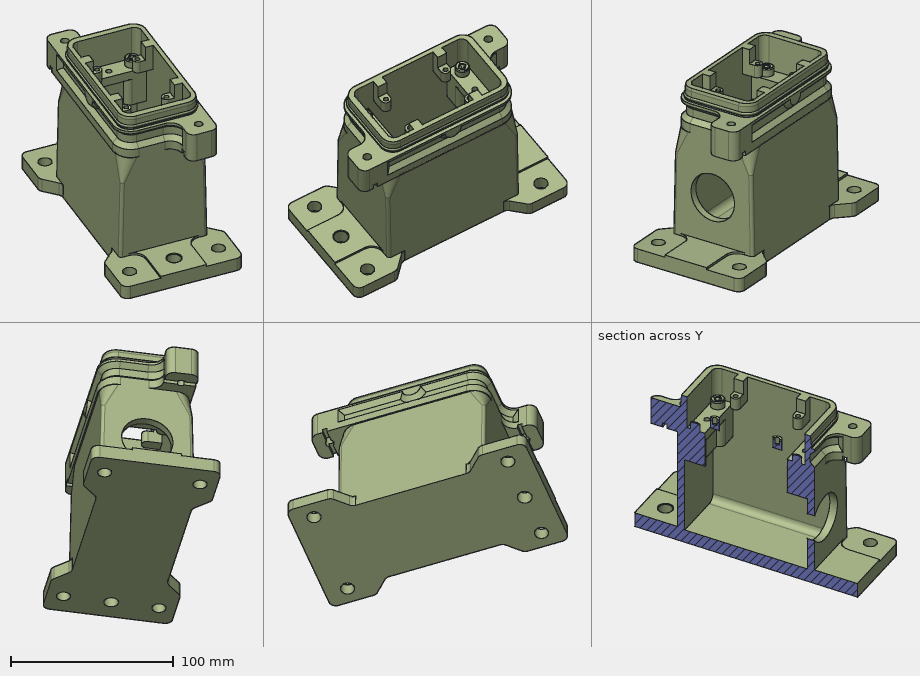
import cadquery as cq
import math

length = 156.0
foot_width = 81.0
foot_height = 9.2
foot_flat_end = 48.7
foot_inner_end = 38.2
foot_root_end = 36.2
foot_corner_radius = 4.7
foot_hole_x = 63.5
foot_hole_y = 30.0
foot_hole_diameter = 8.6
centre_hole_diameter = 9.0
centre_hole_chamfer = 0.5

pad_height = 10.6
pad_half_width = 15.5
pad_flare_radius = 8.1

body_length = 96.1
body_base_width = 59.9
body_top_width = 56.5
body_edge_radius = 2.0
body_top_radius = 10.1
corner_blend_height = 64.7

collar_bottom = 82.0
collar_top = 101.9
collar_length = body_length
collar_width = 58.0
collar_corner_radius = 12.2
ear_end = 66.6
ear_inner_side = 8.9
ear_corner_radius = 5.1
ear_root_radius = 8.0
ear_hole_x = 57.0
ear_hole_y = 19.5
ear_hole_diameter = 5.1
notch_width = 3.0
notch_height = 3.0

groove_bottom = 88.1
groove_top = 100.0
groove_depth = 3.1
groove_end_run = 4.7
groove_end_rise = 2.3
boss_face_radius = 5.8

part_height = 111.0
bead_bottom = 102.8
bead_top = 105.0
lip_length = 91.1
lip_width = 52.4
lip_corner_radius = 8.7
neck_overhang = 0.3
bead_overhang = 1.0
bead_round = 1.0
lip_edge_height = 2.0
lip_edge_inset = 0.39

cavity_length = 82.0
cavity_width = 45.5
cavity_corner_radius = 4.7
cavity_floor = 9.7
lower_cavity_length = 85.5
floor_fillet = 4.7

ledge_inner_x = 28.7
ledge_top = 87.8
ledge_bottom = 62.4
recess_half_width = 9.0
recess_top = 81.6
recess_mouth_radius = 3.9
ledge_hole_x = 34.5
ledge_hole_diameter = 3.7
ledge_hole_depth = 4.7

screw_x = 35.5
screw_y = 16.0
screw_diameter = 9.0
screw_top = 93.1
screw_chamfer = 0.6
drive_diameter = 4.4
drive_recess = 0.5
drive_depth = 2.5
drive_tip_span = 6.0
drive_point_span = 0.3

tab_x = 21.8
tab_width = 6.5
tab_bottom = 93.0
tab_step_y = 17.5
post_top = 101.2
post_hole_y = 13.5
post_tip_y = 10.6
post_hole_diameter = 3.0
post_hole_depth = 4.7

entry_diameter = 32.1
entry_height = 42.0

SIDES = (-1, 1)


def rounded_block(size_x, size_y, radius, bottom, top):
    """Upright centred block with rounded vertical edges."""
    block = cq.Workplane("XY", origin=(0, 0, bottom)).rect(size_x, size_y).extrude(top - bottom)
    return block.edges("|Z").fillet(radius)


def upright_cylinder(x, y, diameter, bottom, top):
    return cq.Workplane("XY", origin=(x, y, bottom)).circle(diameter / 2).extrude(top - bottom)


def plain_box(x_min, x_max, y_min, y_max, z_min, z_max):
    box = cq.Workplane("XY").box(x_max - x_min, y_max - y_min, z_max - z_min, centered=False)
    return box.translate((x_min, y_min, z_min))


def half_turned(shape):
    return shape.rotate((0, 0, 0), (0, 0, 1), 180)


def make_foot():
    """Foot on the +X side, with bevelled inner corners and a raised pad."""
    end_x = length / 2
    side_y = foot_width / 2
    root_y = body_base_width / 2
    outline = [
        (foot_root_end, -root_y),
        (foot_inner_end, -root_y),
        (foot_flat_end, -side_y),
        (end_x, -side_y),
        (end_x, side_y),
        (foot_flat_end, side_y),
        (foot_inner_end, root_y),
        (foot_root_end, root_y),
    ]
    foot = cq.Workplane("XY").polyline(outline).close().extrude(foot_height)
    foot = foot.edges("|Z and (not <X)").fillet(foot_corner_radius)

    flare_end_x = body_length / 2
    flare_start_x = flare_end_x + pad_flare_radius
    flare_y = pad_half_width + pad_flare_radius
    arc_drop = pad_flare_radius * math.sqrt(0.5)
    arc_x = flare_start_x - arc_drop
    arc_y = flare_y - arc_drop
    pad = (
        cq.Workplane("XY")
        .moveTo(0, -flare_y)
        .lineTo(flare_end_x, -flare_y)
        .threePointArc((arc_x, -arc_y), (flare_start_x, -pad_half_width))
        .lineTo(end_x, -pad_half_width)
        .lineTo(end_x, pad_half_width)
        .lineTo(flare_start_x, pad_half_width)
        .threePointArc((arc_x, arc_y), (flare_end_x, flare_y))
        .lineTo(0, flare_y)
        .close()
        .extrude(pad_height)
    )
    foot = foot.union(pad)
    for side in SIDES:
        foot = foot.cut(upright_cylinder(foot_hole_x, side * foot_hole_y, foot_hole_diameter, 0, foot_height))
    return foot


def make_centre_hole():
    """Chamfered through hole in the pad of the +X foot."""
    hole = upright_cylinder(foot_hole_x, 0, centre_hole_diameter, 0, pad_height)
    mouth = (
        cq.Workplane("XY", origin=(foot_hole_x, 0, pad_height))
        .circle(centre_hole_diameter / 2 + centre_hole_chamfer)
        .workplane(offset=-centre_hole_chamfer)
        .circle(centre_hole_diameter / 2)
        .loft()
    )
    return hole.union(mouth)


def body_section(width, radius):
    return cq.Sketch().rect(body_length, width).vertices().fillet(radius)


def make_body():
    """Drafted body whose sharp corners open into large radii below the collar."""
    taper = (body_base_width - body_top_width) / collar_bottom
    blend_width = body_base_width - taper * corner_blend_height
    base = body_section(body_base_width, body_edge_radius)
    middle = body_section(blend_width, body_edge_radius)
    top = body_section(body_top_width, body_top_radius)
    blend_rise = collar_bottom - corner_blend_height
    lower = (
        cq.Workplane("XY")
        .placeSketch(base, middle.moved(cq.Location(cq.Vector(0, 0, corner_blend_height))))
        .loft(ruled=True)
    )
    upper = (
        cq.Workplane("XY", origin=(0, 0, corner_blend_height))
        .placeSketch(middle, top.moved(cq.Location(cq.Vector(0, 0, blend_rise))))
        .loft(ruled=True)
    )
    return lower.union(upper)


def collar_blank(inset, bottom, top):
    """Rounded block with an ear on the -X -Y and the +X +Y corner, its outline moved in by inset."""
    half_x = collar_length / 2 - inset
    half_y = collar_width / 2 - inset
    end_x = ear_end - inset
    inner_y = ear_inner_side + inset
    main_block = cq.Workplane("XY", origin=(0, 0, bottom)).rect(2 * half_x, 2 * half_y).extrude(top - bottom)
    ear = plain_box(0, end_x, inner_y, half_y, bottom, top)
    blank = main_block.union(ear).union(half_turned(ear)).clean()
    for end_face in (">X", "<X"):
        blank = blank.faces(end_face).edges("|Z").fillet(ear_corner_radius - inset)
    for side in SIDES:
        root = cq.selectors.NearestToPointSelector((side * half_x, side * inner_y, (bottom + top) / 2))
        blank = blank.edges("|Z").edges(root).fillet(ear_root_radius + inset)
        corner = cq.selectors.NearestToPointSelector((side * half_x, -side * half_y, (bottom + top) / 2))
        blank = blank.edges("|Z").edges(corner).fillet(collar_corner_radius - inset)
    return blank


def make_groove_boss():
    """Conical boss standing across the groove in the middle of the -Y side."""
    outer_y = -collar_width / 2
    return (
        cq.Workplane("XZ", origin=(0, outer_y, groove_top))
        .circle(boss_face_radius)
        .workplane(offset=-groove_depth)
        .circle(boss_face_radius + groove_depth)
        .loft()
    )


def make_groove_flanks():
    """Sloping upper and lower sides that stay solid inside the groove."""
    lower = collar_blank(0, collar_bottom, groove_bottom + groove_depth)
    lower = lower.faces(">Z").chamfer(groove_depth)
    upper = lower.mirror("XY", (0, 0, (groove_bottom + groove_top) / 2))
    return lower.union(upper)


def make_groove():
    """Ring with 45 degree flanks, left out across the ears and at the bosses."""
    ring = collar_blank(0, groove_bottom, groove_top)
    floor = collar_blank(groove_depth, groove_bottom, groove_top)
    ring = ring.cut(floor).cut(make_groove_flanks())
    half_x = collar_length / 2
    half_y = collar_width / 2
    root_end_x = half_x + ear_root_radius
    kept_ear = (
        cq.Workplane("XY", origin=(0, 0, groove_bottom))
        .moveTo(half_x, half_y)
        .lineTo(half_x - groove_depth, half_y - groove_depth)
        .lineTo(root_end_x - groove_end_run, ear_inner_side + groove_end_rise)
        .lineTo(root_end_x, ear_inner_side)
        .lineTo(ear_end, ear_inner_side)
        .lineTo(ear_end, half_y)
        .close()
        .extrude(groove_top - groove_bottom)
    )
    kept = kept_ear.union(half_turned(kept_ear))
    boss = make_groove_boss()
    return ring.cut(kept).cut(boss).cut(half_turned(boss))


def make_collar():
    collar = collar_blank(0, collar_bottom, collar_top).cut(make_groove())
    half_y = collar_width / 2
    for side in SIDES:
        notch = plain_box(
            side * ear_hole_x - notch_width / 2,
            side * ear_hole_x + notch_width / 2,
            -half_y,
            half_y,
            collar_bottom,
            collar_bottom + notch_height,
        )
        hole = upright_cylinder(
            side * ear_hole_x, side * ear_hole_y, ear_hole_diameter, collar_bottom, collar_top
        )
        collar = collar.cut(notch).cut(hole)
    return collar


def make_lip():
    """Upright rim with a rounded bead around its foot."""

    def lip_block(overhang, bottom, top):
        return rounded_block(
            lip_length + 2 * overhang, lip_width + 2 * overhang, lip_corner_radius + overhang, bottom, top
        )

    neck = lip_block(neck_overhang, collar_top, bead_bottom)
    bead = lip_block(bead_overhang, bead_bottom, bead_top).faces("<Z or >Z").edges().fillet(bead_round)
    rim = lip_block(0, bead_bottom, part_height).faces(">Z").chamfer(lip_edge_height, lip_edge_inset)
    return rim.union(bead).union(neck)


def make_cavity():
    """Open upper well and a slightly longer lower chamber with a rounded floor."""
    upper = rounded_block(cavity_length, cavity_width, cavity_corner_radius, ledge_bottom, part_height)
    lower = (
        cq.Workplane("XY", origin=(0, 0, cavity_floor))
        .rect(lower_cavity_length, cavity_width)
        .extrude(ledge_bottom - cavity_floor)
        .edges("|X and <Z")
        .fillet(floor_fillet)
    )
    return upper.union(lower)


def make_ledge():
    """Ledge at the +X end, with a round-mouthed recess below its top."""
    end_x = lower_cavity_length / 2
    half_y = cavity_width / 2
    ledge = plain_box(ledge_inner_x, end_x, -half_y, half_y, ledge_bottom, ledge_top)
    back_x = ledge_inner_x + recess_mouth_radius
    mouth_half_width = recess_half_width + recess_mouth_radius
    arc_reach = recess_mouth_radius * math.sqrt(0.5)
    arc_x = back_x - arc_reach
    arc_y = mouth_half_width - arc_reach
    recess = (
        cq.Workplane("XY", origin=(0, 0, ledge_bottom))
        .moveTo(ledge_inner_x, -mouth_half_width)
        .threePointArc((arc_x, -arc_y), (back_x, -recess_half_width))
        .lineTo(back_x, recess_half_width)
        .threePointArc((arc_x, arc_y), (ledge_inner_x, mouth_half_width))
        .close()
        .extrude(recess_top - ledge_bottom)
    )
    hole = upright_cylinder(ledge_hole_x, 0, ledge_hole_diameter, ledge_top - ledge_hole_depth, ledge_top)
    return ledge.cut(recess).cut(hole)


def make_screw(x, y):
    """Cylindrical screw head with a four-sided, pointed drive recess."""
    screw = upright_cylinder(0, 0, screw_diameter, ledge_top, screw_top)
    screw = screw.faces(">Z").chamfer(screw_chamfer)
    recess = upright_cylinder(0, 0, drive_diameter, screw_top - drive_recess, screw_top)
    pyramid = (
        cq.Workplane("XY", origin=(0, 0, screw_top))
        .polygon(4, drive_tip_span)
        .workplane(offset=-drive_depth)
        .polygon(4, drive_point_span)
        .loft(ruled=True)
    )
    screw = screw.cut(recess).cut(pyramid)
    return screw.translate((x, y, 0))


def make_tab(x):
    """Tab on the +Y wall, stepped down to a round-ended post with a screw hole."""
    wall_y = cavity_width / 2
    half_width = tab_width / 2
    tip_centre_y = post_tip_y + half_width
    tab = plain_box(-half_width, half_width, tab_step_y, wall_y, tab_bottom, part_height)
    post = plain_box(-half_width, half_width, tip_centre_y, wall_y, tab_bottom, post_top)
    post = post.union(upright_cylinder(0, tip_centre_y, tab_width, tab_bottom, post_top))
    hole = upright_cylinder(0, post_hole_y, post_hole_diameter, post_top - post_hole_depth, post_top)
    return tab.union(post).cut(hole).translate((x, 0, 0))


foot = make_foot()
shell = make_body().union(foot).union(half_turned(foot)).cut(make_centre_hole())
shell = shell.union(make_collar()).union(make_lip())

shell = shell.cut(make_cavity())
entry_depth = (body_length - cavity_length) / 2
entry = (
    cq.Workplane("YZ", origin=(-body_length / 2, 0, entry_height))
    .circle(entry_diameter / 2)
    .extrude(entry_depth)
)
shell = shell.cut(entry)

ledge = make_ledge()
shell = shell.union(ledge).union(half_turned(ledge))
for side_x in SIDES:
    tab = make_tab(side_x * tab_x)
    shell = shell.union(tab).union(half_turned(tab))
    for side_y in SIDES:
        shell = shell.union(make_screw(side_x * screw_x, side_y * screw_y))

result = shell